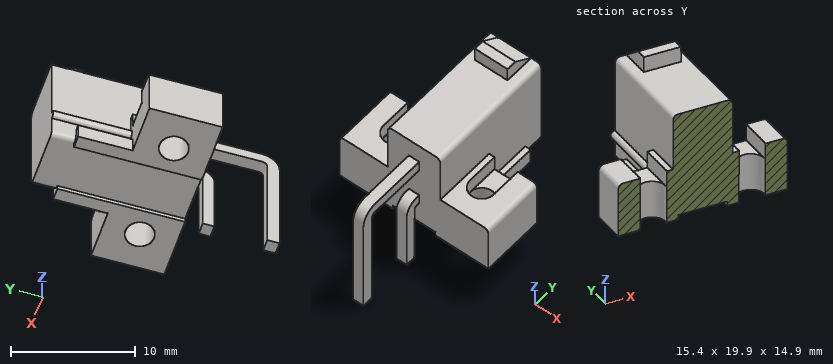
import cadquery as cq

overall_length = 19.9
housing_length = 12.82
shroud_width = 5.45
shroud_top = 9.99
standoff = 0.42
standoff_gap_width = 4.38
edge_radius = 0.5

wing_span = 15.4
wing_depth = 6.19
wing_height = 4.92
foot_span = 6.57
foot_length = 4.6
foot_height = 1.53

hole_diameter = 2.4
hole_spacing = 8.97
hole_y = 3.1
slot_floor = 3.4

latch_width = 3.38
latch_height = 1.41
latch_flat = 1.0
latch_ramp = 2.03
rib_radius = 0.4
rib_z = 2.75

terminal_width = 1.07
terminal_bottom = -3.5
upper_top = 8.02
upper_reach = overall_length - housing_length
upper_thickness = 1.05
upper_bend_radius = 1.53
lower_top = 3.82
lower_reach = 1.6
lower_thickness = 1.0
lower_bend_radius = 1.3


def box(x_min, x_max, y_min, y_max, z_min, z_max):
    """Axis-aligned block between the given limits."""
    return (
        cq.Workplane("XY")
        .box(x_max - x_min, y_max - y_min, z_max - z_min, centered=False)
        .translate((x_min, y_min, z_min))
    )


def make_shroud():
    """Long mating block with all four lengthwise edges rounded."""
    half_width = shroud_width / 2
    shroud = box(-half_width, half_width, 0, housing_length, standoff, shroud_top)
    return shroud.edges("|Y").fillet(edge_radius)


def make_wings():
    """Cross block at the front, with rounded upper outer edges."""
    half_span = wing_span / 2
    wings = box(-half_span, half_span, 0, wing_depth, 0, wing_height)
    return wings.edges("|Y and >Z").fillet(edge_radius)


def make_feet():
    """Low block whose middle is later relieved to leave a foot on each side."""
    half_span = foot_span / 2
    return box(-half_span, half_span, 0, wing_depth + foot_length, 0, foot_height)


def make_standoff_gap():
    """Shallow channel along the underside between the feet."""
    half_gap = standoff_gap_width / 2
    return box(-half_gap, half_gap, 0, housing_length, 0, standoff)


def make_mounting_cut(hole_x):
    """Through hole and the round-ended slot above it, open to the rear."""
    radius = hole_diameter / 2
    hole = cq.Workplane("XY").center(hole_x, hole_y).circle(radius).extrude(wing_height)
    slot = box(hole_x - radius, hole_x + radius, hole_y, wing_depth, slot_floor, wing_height)
    return hole.union(slot)


def make_latch():
    """Ramp on top of the shroud, rising from its rear face."""
    flat_end = housing_length - latch_ramp
    front = flat_end - latch_flat
    latch_top = shroud_top + latch_height
    return (
        cq.Workplane("YZ")
        .moveTo(front, shroud_top)
        .lineTo(front, latch_top)
        .lineTo(flat_end, latch_top)
        .lineTo(housing_length, shroud_top)
        .close()
        .extrude(latch_width / 2, both=True)
    )


def make_rib():
    """Half-round polarizing rib on the -X side of the shroud."""
    return (
        cq.Workplane("XZ")
        .center(-shroud_width / 2, rib_z)
        .circle(rib_radius)
        .extrude(-(housing_length - wing_depth))
        .translate((0, wing_depth, 0))
    )


def make_housing():
    body = make_wings().union(make_feet()).cut(make_standoff_gap())
    body = body.union(make_shroud())
    for side in (-1, 1):
        body = body.cut(make_mounting_cut(side * hole_spacing / 2))
    return body.union(make_latch()).union(make_rib())


def make_terminal(top, reach, thickness, bend_radius):
    """Rectangular wire leaving the front face and bent down to the board."""
    inner_y = thickness - reach
    inner_z = top - thickness
    inner_radius = bend_radius - thickness
    return (
        cq.Workplane("YZ")
        .moveTo(0, top)
        .lineTo(bend_radius - reach, top)
        .radiusArc((-reach, top - bend_radius), -bend_radius)
        .lineTo(-reach, terminal_bottom)
        .lineTo(inner_y, terminal_bottom)
        .lineTo(inner_y, inner_z - inner_radius)
        .radiusArc((inner_y + inner_radius, inner_z), inner_radius)
        .lineTo(0, inner_z)
        .close()
        .extrude(terminal_width / 2, both=True)
    )


housing = make_housing()
upper_terminal = make_terminal(upper_top, upper_reach, upper_thickness, upper_bend_radius)
lower_terminal = make_terminal(lower_top, lower_reach, lower_thickness, lower_bend_radius)

result = cq.Compound.makeCompound([housing.val(), upper_terminal.val(), lower_terminal.val()])